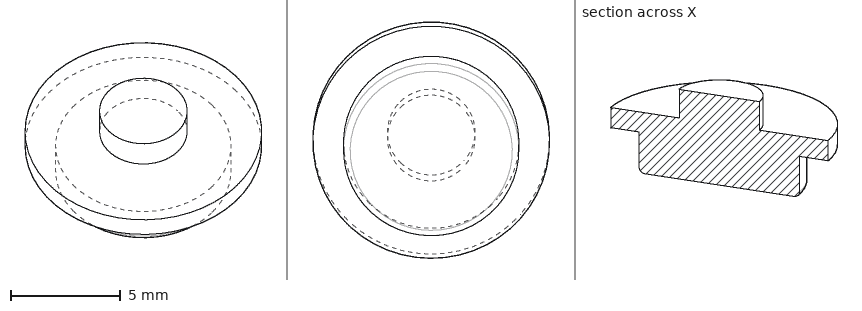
import cadquery as cq

total_height = 4.4
flange_diameter = 10.8
flange_thickness = 1.0
body_diameter = 8.0
body_height = 2.0
body_edge_radius = 0.3
pin_diameter = 4
pin_height = total_height - body_height - flange_thickness


def disc(diameter, height, base_z):
    """Upright cylinder on the Z axis, standing at base_z."""
    return cq.Workplane("XY", origin=(0, 0, base_z)).circle(diameter / 2).extrude(height)


body = disc(body_diameter, body_height, 0).faces("<Z").edges().fillet(body_edge_radius)

flange = disc(flange_diameter, flange_thickness, body_height)
pin = disc(pin_diameter, pin_height, body_height + flange_thickness)

result = body.union(flange).union(pin)